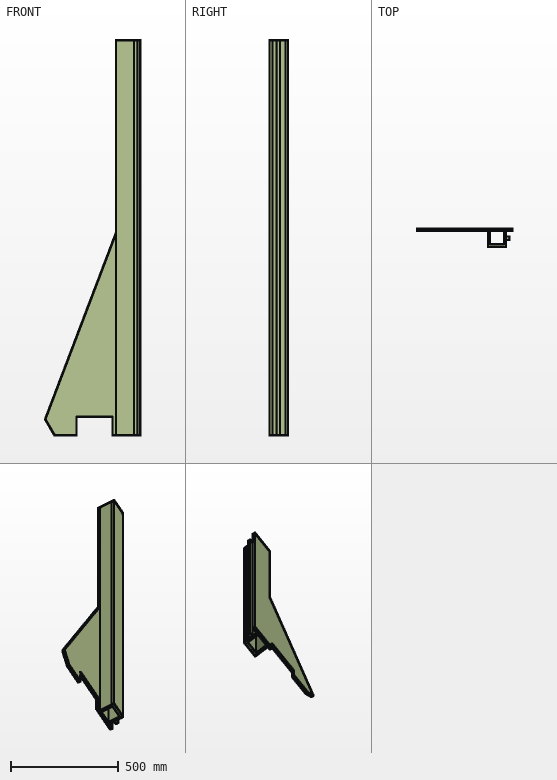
import cadquery as cq

height = 1842.0
total_width = 444.0
total_depth = 87.0

box_width = 85.0
plate_width = 115.0
plate_thickness = 12.0
wall_thickness = 10.0
front_thickness = 13.6

rail_width = 17.0
rail_depth = 17.0
rail_offset = 33.0
rail_round = 4.8

gusset_top = 943.0
toe_height = 75.0
toe_setback = 45.0
notch_left = 147.0
notch_right = 313.0
notch_height = 87.0

box_left = total_width - plate_width
box_right = box_left + box_width
plate_front = total_depth - plate_thickness


def upright(x, y, width, depth):
    """Full-height bar with its front-left lower corner at (x, y, 0)."""
    return cq.Workplane("XY").box(width, depth, height, centered=False).translate((x, y, 0))


def make_gusset_plate():
    """Back strip of the post and its sloping gusset wing, in one piece."""
    outline = [
        (total_width, 0),
        (total_width, height),
        (box_left, height),
        (box_left, gusset_top),
        (0, toe_height),
        (toe_setback, 0),
        (notch_left, 0),
        (notch_left, notch_height),
        (notch_right, notch_height),
        (notch_right, 0),
    ]
    plate = cq.Workplane("XZ").polyline(outline).close().extrude(-plate_thickness)
    return plate.translate((0, plate_front, 0))


def make_front_plate():
    return upright(box_left, 0, box_width, front_thickness)


def make_side_wall(x):
    """Wall filling the gap between the front plate and the gusset plate."""
    return upright(x, front_thickness, wall_thickness, plate_front - front_thickness)


def make_rail():
    """Bar along the +X wall, rounded on its outer front edge."""
    rail = upright(box_right, rail_offset, rail_width, rail_depth)
    return rail.edges("|Z and >X").edges("<Y").fillet(rail_round)


gusset_plate = make_gusset_plate()
front_plate = make_front_plate()
side_walls = [make_side_wall(x) for x in (box_left, box_right - wall_thickness)]
rail = make_rail()

result = cq.Compound.makeCompound([
    gusset_plate.val(),
    front_plate.val(),
    *[wall.val() for wall in side_walls],
    rail.val(),
])